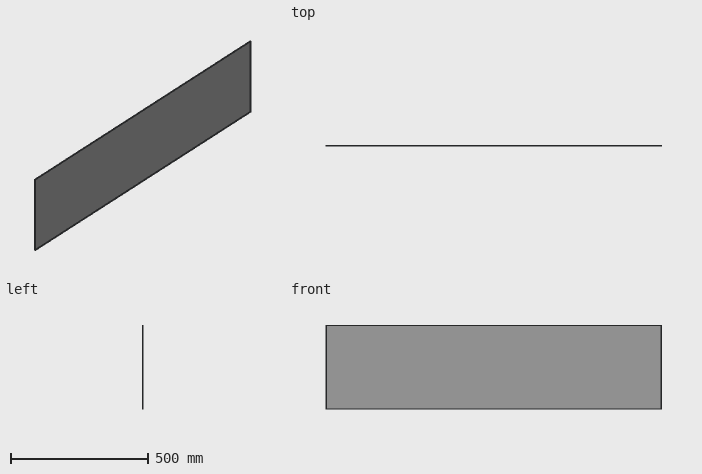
import cadquery as cq

length = 1219.0
thickness = 3.2
height = 305.0

result = cq.Workplane("XY").box(length, thickness, height)